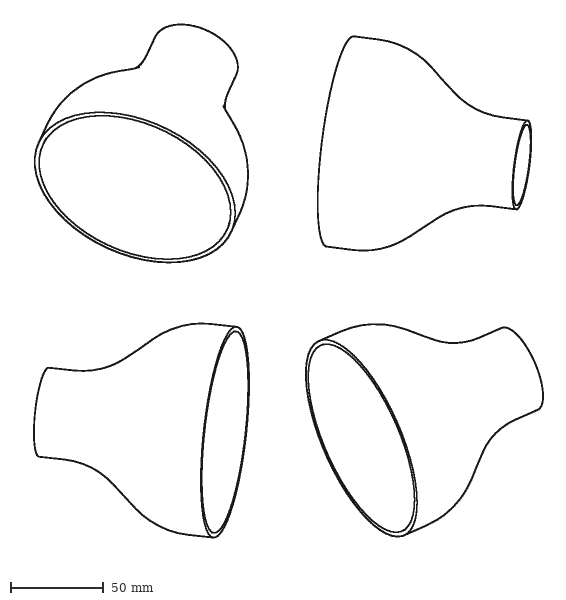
import cadquery as cq
import math

length = 100.0
large_outer_radius = 114.3 / 2
large_inner_radius = 109.2 / 2
small_outer_radius = 48.3 / 2
small_inner_radius = 43.7 / 2
collar_length = 14.0
bend_radius = 45.0

large_wall = large_outer_radius - large_inner_radius
small_wall = small_outer_radius - small_inner_radius
shoulder_center_radius = large_outer_radius - bend_radius
neck_center_radius = small_outer_radius + bend_radius
shoulder_y = collar_length
neck_y = length - collar_length


def cone_angle(shoulder_bend, neck_bend):
    """Angle to the axis of the straight flank tangent to both bends."""
    axial_gap = neck_y - shoulder_y
    radial_gap = neck_center_radius - shoulder_center_radius
    center_distance = math.hypot(axial_gap, radial_gap)
    center_line_angle = math.atan2(axial_gap, radial_gap)
    return center_line_angle - math.acos((shoulder_bend + neck_bend) / center_distance)


def solid_of_revolution(large_radius, small_radius, shoulder_bend, neck_bend):
    """Collar, convex shoulder, conical flank, concave neck and collar, filled to the axis."""
    angle = cone_angle(shoulder_bend, neck_bend)

    def shoulder_point(turn):
        return (
            shoulder_center_radius + shoulder_bend * math.cos(turn),
            shoulder_y + shoulder_bend * math.sin(turn),
        )

    def neck_point(turn):
        return (
            neck_center_radius - neck_bend * math.cos(turn),
            neck_y - neck_bend * math.sin(turn),
        )

    return (
        cq.Workplane("XY")
        .lineTo(large_radius, 0)
        .lineTo(large_radius, shoulder_y)
        .threePointArc(shoulder_point(angle / 2), shoulder_point(angle))
        .lineTo(*neck_point(angle))
        .threePointArc(neck_point(angle / 2), (small_radius, neck_y))
        .lineTo(small_radius, length)
        .lineTo(0, length)
        .close()
        .revolve(360, (0, 0, 0), (0, 1, 0))
    )


body = solid_of_revolution(large_outer_radius, small_outer_radius, bend_radius, bend_radius)
bore = solid_of_revolution(
    large_inner_radius,
    small_inner_radius,
    bend_radius - large_wall,
    bend_radius + small_wall,
)

result = body.cut(bore)